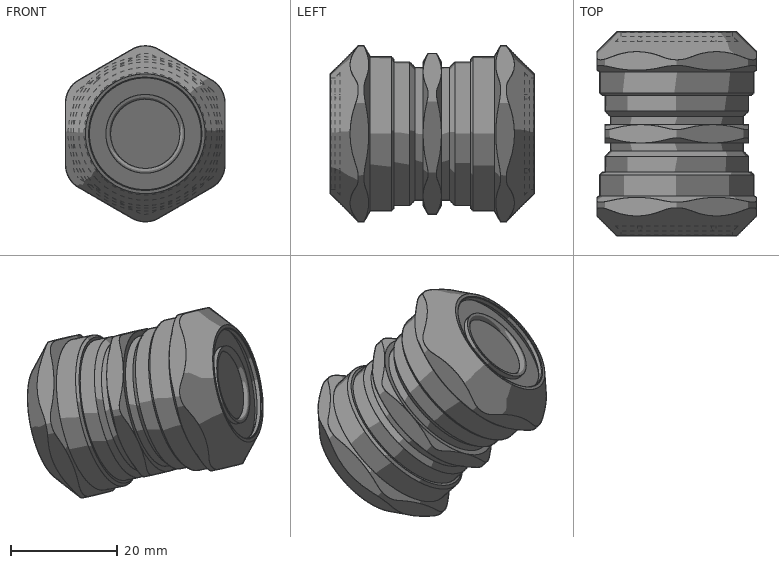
import cadquery as cq
import math

HALF_LENGTH = 19.2
NUT_CHAMFER_START = 11.65
COLLAR_INNER = 7.2
SHOULDER_END = 4.25
BODY_HEX_HALF_WIDTH = 1.73

COLLAR_DIAMETER = 29.0
SHOULDER_DIAMETER = 27.0
NECK_DIAMETER = 25.0
END_FACE_DIAMETER = 22.5
BORE_DIAMETER = 21.0
UNDERCUT_DIAMETER = 23.0
SEAL_RIM_OUTER_DIAMETER = 14.8
SEAL_POCKET_DIAMETER = 13.0

NUT_ACROSS_FLATS = 30.0
NUT_CORNER_RADIUS = 5.0
BODY_HEX_ACROSS_FLATS = 27.0
BODY_HEX_CORNER_RADIUS = 3.0
HEX_CHAMFER_ANGLE = 30.0

COLLAR_CHAMFER = 0.5
BORE_CHAMFER = 0.15
SEAL_RIM_ROUND = 0.55

BORE_STRAIGHT_DEPTH = 0.92
BORE_DEPTH = 1.85
SEAL_RIM_HEIGHT = 0.9

HEX_SLOPE = math.tan(math.radians(HEX_CHAMFER_ANGLE))


def hex_corner_radius(across_flats):
    """Distance from the axis to the sharp corners of a hexagon."""
    return across_flats / math.sqrt(3)


def revolve_profile(points):
    """Revolve a closed outline of (radius, y) points about the Y axis."""
    return cq.Workplane("XY").polyline(points).close().revolve(360, (0, 0, 0), (0, 1, 0))


def hex_prism(across_flats, corner_radius, y_start, y_end):
    """Hexagonal prism along Y with flats facing +X and -X and rounded corners."""
    corner_diameter = 2 * hex_corner_radius(across_flats)
    prism = (
        cq.Workplane("XZ", origin=(0, y_start, 0))
        .transformed(rotate=(0, 0, 90))
        .polygon(6, corner_diameter)
        .extrude(y_start - y_end)
    )
    return prism.edges("|Y").fillet(corner_radius)


def nut_hexagon():
    """+Y nut hexagon: 45 degree cone at the outer end, shallow chamfer at the inner end."""
    sharp = hex_corner_radius(NUT_ACROSS_FLATS)
    collar = COLLAR_DIAMETER / 2
    end_face = END_FACE_DIAMETER / 2
    envelope = revolve_profile([
        (0, NUT_CHAMFER_START),
        (collar, NUT_CHAMFER_START),
        (sharp, NUT_CHAMFER_START + (sharp - collar) * HEX_SLOPE),
        (sharp, HALF_LENGTH - (sharp - end_face)),
        (end_face, HALF_LENGTH),
        (0, HALF_LENGTH),
    ])
    prism = hex_prism(NUT_ACROSS_FLATS, NUT_CORNER_RADIUS, NUT_CHAMFER_START, HALF_LENGTH)
    return prism.intersect(envelope)


def round_half_body():
    """Collar, tapered shoulder and neck on the +Y half."""
    collar = COLLAR_DIAMETER / 2
    shoulder = SHOULDER_DIAMETER / 2
    neck = NECK_DIAMETER / 2
    neck_end = SHOULDER_END - (shoulder - neck)
    return revolve_profile([
        (0, 0),
        (neck, 0),
        (neck, neck_end),
        (shoulder, SHOULDER_END),
        (shoulder, COLLAR_INNER),
        (collar - COLLAR_CHAMFER, COLLAR_INNER),
        (collar, COLLAR_INNER + COLLAR_CHAMFER),
        (collar, NUT_CHAMFER_START),
        (0, NUT_CHAMFER_START),
    ])


def end_bore():
    """Cutter for the +Y end: chamfered bore that widens conically to its floor."""
    bore = BORE_DIAMETER / 2
    floor_y = HALF_LENGTH - BORE_DEPTH
    return revolve_profile([
        (0, floor_y),
        (UNDERCUT_DIAMETER / 2, floor_y),
        (bore, HALF_LENGTH - BORE_STRAIGHT_DEPTH),
        (bore, HALF_LENGTH - BORE_CHAMFER),
        (bore + BORE_CHAMFER, HALF_LENGTH),
        (0, HALF_LENGTH),
    ])


def seal_rim():
    """Raised ring on the +Y bore floor whose inner edge rounds down into the pocket."""
    floor_y = HALF_LENGTH - BORE_DEPTH
    top_y = floor_y + SEAL_RIM_HEIGHT
    pocket = SEAL_POCKET_DIAMETER / 2
    outer = SEAL_RIM_OUTER_DIAMETER / 2
    arc_inset = SEAL_RIM_ROUND * (1 - math.sqrt(0.5))
    return (
        cq.Workplane("XY")
        .moveTo(pocket, floor_y)
        .lineTo(outer, floor_y)
        .lineTo(outer, top_y)
        .lineTo(pocket + SEAL_RIM_ROUND, top_y)
        .threePointArc((pocket + arc_inset, top_y - arc_inset), (pocket, top_y - SEAL_RIM_ROUND))
        .close()
        .revolve(360, (0, 0, 0), (0, 1, 0))
    )


def body_hexagon():
    """Central hexagon, chamfered on both side faces."""
    sharp = hex_corner_radius(BODY_HEX_ACROSS_FLATS)
    flat = BODY_HEX_ACROSS_FLATS / 2
    side = BODY_HEX_HALF_WIDTH
    corner_side = side - (sharp - flat) * HEX_SLOPE
    envelope = revolve_profile([
        (0, -side),
        (flat, -side),
        (sharp, -corner_side),
        (sharp, corner_side),
        (flat, side),
        (0, side),
    ])
    prism = hex_prism(BODY_HEX_ACROSS_FLATS, BODY_HEX_CORNER_RADIUS, -side, side)
    return prism.intersect(envelope)


half = round_half_body().union(nut_hexagon()).cut(end_bore()).union(seal_rim())
result = half.union(half.mirror("XZ")).union(body_hexagon())